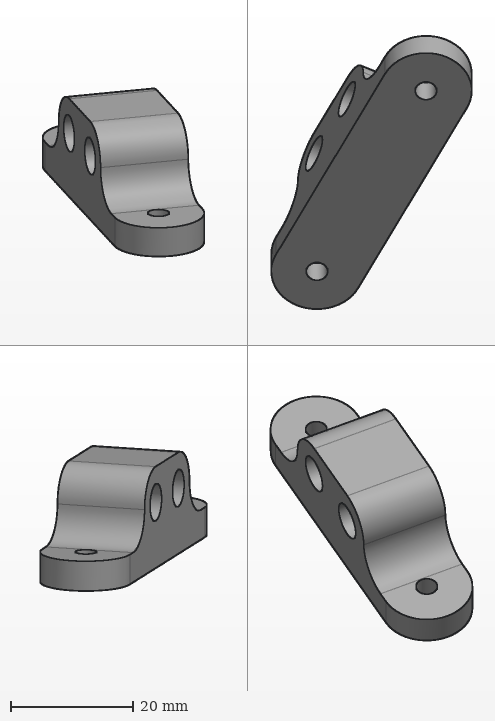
import cadquery as cq

width = 15.0
base_thickness = 5.0
mount_hole_spacing = 40.0
mount_hole_diameter = 3.5
rod_hole_spacing = 12.0
rod_hole_diameter = 6.15
blend_radius = 6.0

base_length = mount_hole_spacing + width
hump_half_width = rod_hole_spacing / 2 + blend_radius
hump_foot_half_width = hump_half_width + blend_radius
rod_hole_height = base_thickness + blend_radius
total_height = rod_hole_height + blend_radius


def make_base():
    """Flat mounting plate with full-round ends."""
    return cq.Workplane("XY").slot2D(base_length, width).extrude(base_thickness)


def make_hump():
    """Raised centre with rounded shoulders that flare tangentially into the plate."""
    top_half_width = rod_hole_spacing / 2
    return (
        cq.Workplane("XZ")
        .moveTo(-hump_foot_half_width, 0)
        .lineTo(-hump_foot_half_width, base_thickness)
        .radiusArc((-hump_half_width, rod_hole_height), -blend_radius)
        .radiusArc((-top_half_width, total_height), blend_radius)
        .lineTo(top_half_width, total_height)
        .radiusArc((hump_half_width, rod_hole_height), blend_radius)
        .radiusArc((hump_foot_half_width, base_thickness), -blend_radius)
        .lineTo(hump_foot_half_width, 0)
        .close()
        .extrude(width / 2, both=True)
    )


def make_mount_holes():
    """Vertical screw holes, concentric with the rounded plate ends."""
    return (
        cq.Workplane("XY")
        .pushPoints([(side * mount_hole_spacing / 2, 0) for side in (-1, 1)])
        .circle(mount_hole_diameter / 2)
        .extrude(base_thickness)
    )


def make_rod_holes():
    """Horizontal through holes, concentric with the hump shoulders."""
    return (
        cq.Workplane("XZ")
        .pushPoints([(side * rod_hole_spacing / 2, rod_hole_height) for side in (-1, 1)])
        .circle(rod_hole_diameter / 2)
        .extrude(width / 2, both=True)
    )


result = make_base().union(make_hump()).cut(make_mount_holes()).cut(make_rod_holes())